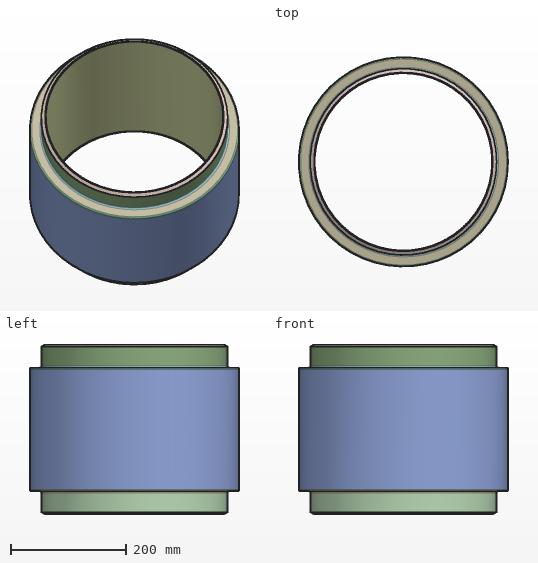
import cadquery as cq
import math

SLEEVE_RADIUS = 182.0

PIPE_LENGTH = 295.0
PIPE_RADIUS = 162.0
WALL_THICKNESS = 8.0
BORE_RADIUS = PIPE_RADIUS - WALL_THICKNESS

STUB_LENGTH = 40.0
RIM_LAND = 1.5
BEVEL_ANGLE = 30.0
BEVEL_WIDTH = WALL_THICKNESS - RIM_LAND
BEVEL_HEIGHT = BEVEL_WIDTH * math.tan(math.radians(BEVEL_ANGLE))

EDGE_FILLET = 3.0
ROOT_FILLET = 3.0

END_HEIGHT = PIPE_LENGTH / 2
BEVEL_START = END_HEIGHT - BEVEL_HEIGHT
SHOULDER_HEIGHT = END_HEIGHT - STUB_LENGTH

section = (
    cq.Workplane("XZ")
    .moveTo(BORE_RADIUS, -END_HEIGHT)
    .lineTo(BORE_RADIUS + RIM_LAND, -END_HEIGHT)
    .lineTo(PIPE_RADIUS, -BEVEL_START)
    .lineTo(PIPE_RADIUS, -SHOULDER_HEIGHT - ROOT_FILLET)
    .radiusArc((PIPE_RADIUS + ROOT_FILLET, -SHOULDER_HEIGHT), ROOT_FILLET)
    .lineTo(SLEEVE_RADIUS - EDGE_FILLET, -SHOULDER_HEIGHT)
    .radiusArc((SLEEVE_RADIUS, -SHOULDER_HEIGHT + EDGE_FILLET), -EDGE_FILLET)
    .lineTo(SLEEVE_RADIUS, SHOULDER_HEIGHT - EDGE_FILLET)
    .radiusArc((SLEEVE_RADIUS - EDGE_FILLET, SHOULDER_HEIGHT), -EDGE_FILLET)
    .lineTo(PIPE_RADIUS + ROOT_FILLET, SHOULDER_HEIGHT)
    .radiusArc((PIPE_RADIUS, SHOULDER_HEIGHT + ROOT_FILLET), ROOT_FILLET)
    .lineTo(PIPE_RADIUS, BEVEL_START)
    .lineTo(BORE_RADIUS + RIM_LAND, END_HEIGHT)
    .lineTo(BORE_RADIUS, END_HEIGHT)
    .close()
)

result = section.revolve(360, (0, 0, 0), (0, 1, 0))